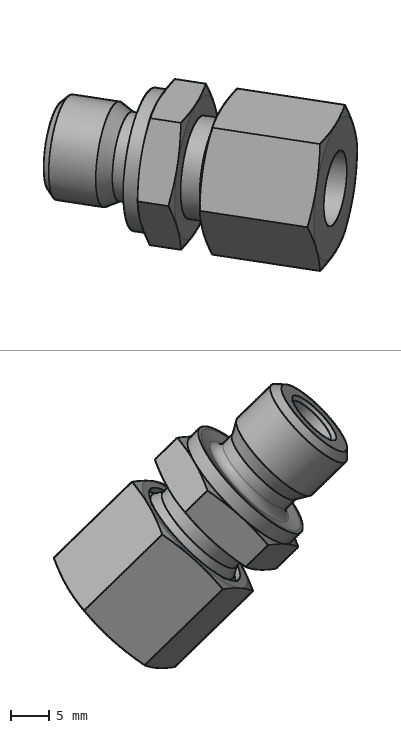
import cadquery as cq
import math


across_flats = 19.0
flat_radius = across_flats / 2
corner_radius = across_flats / math.sqrt(3)
hex_chamfer_angle = 15.0
overall_length = 38.0

flange_start = 11.97
flange_thickness = 2.0
body_hex_start = flange_start + flange_thickness
body_hex_width = 5.0
body_hex_end = body_hex_start + body_hex_width
runout_start = 21.6
body_end = 30.4

port_thread_radius = 7.0
port_chamfer = 1.03
neck_radius = 5.93
neck_taper_start = 7.45
neck_start = 9.4
neck_end = 11.05
bore_radius = 3.5
bore_chamfer = 0.5

seal_rim_radius = 9.0
seal_fillet_radius = 1.2
seal_root_radius = neck_radius + seal_fillet_radius
seal_root = neck_end + seal_fillet_radius

shank_radius = 6.85
nut_thread_radius = 8.25
runout_radius = 7.6
runout_angle = 30.0
runout_end = runout_start + (runout_radius - shank_radius) / math.tan(math.radians(runout_angle))
shoulder_angle = 53.0
shoulder_end = runout_end + (nut_thread_radius - runout_radius) / math.tan(math.radians(shoulder_angle))

nut_start = 22.5
tube_radius = 5.0


def cylinder(start, end, radius):
    """Cylinder on the X axis between two X positions."""
    return cq.Workplane("YZ", origin=(start, 0, 0)).circle(radius).extrude(end - start)


def chamfered_hexagon(start, end):
    """Hexagonal prism along X, flats up and down, corners turned off by a cone at both ends."""
    prism = cq.Workplane("YZ", origin=(start, 0, 0)).polygon(6, 2 * corner_radius).extrude(end - start)
    chamfer = (corner_radius - flat_radius) * math.tan(math.radians(hex_chamfer_angle))
    turned_blank = (
        cq.Workplane("XY")
        .moveTo(start, 0)
        .lineTo(start, flat_radius)
        .lineTo(start + chamfer, corner_radius)
        .lineTo(end - chamfer, corner_radius)
        .lineTo(end, flat_radius)
        .lineTo(end, 0)
        .close()
        .revolve(360, (0, 0, 0), (1, 0, 0))
    )
    return prism.intersect(turned_blank)


def make_body():
    turned = (
        cq.Workplane("XY")
        .moveTo(0, 0)
        .lineTo(0, port_thread_radius - port_chamfer)
        .lineTo(port_chamfer, port_thread_radius)
        .lineTo(neck_taper_start, port_thread_radius)
        .lineTo(neck_start, neck_radius)
        .lineTo(neck_end, neck_radius)
        .radiusArc((seal_root, seal_root_radius), -seal_fillet_radius)
        .lineTo(flange_start, seal_rim_radius)
        .lineTo(flange_start, flat_radius)
        .lineTo(body_hex_start, flat_radius)
        .lineTo(body_hex_start, shank_radius)
        .lineTo(runout_start, shank_radius)
        .lineTo(runout_end, runout_radius)
        .lineTo(shoulder_end, nut_thread_radius)
        .lineTo(body_end, nut_thread_radius)
        .lineTo(body_end, 0)
        .close()
        .revolve(360, (0, 0, 0), (1, 0, 0))
    )
    solid = turned.union(chamfered_hexagon(body_hex_start, body_hex_end))

    solid = solid.cut(cylinder(0, body_end, bore_radius))
    return solid.faces("<X").edges("%CIRCLE").edges(cq.selectors.RadiusNthSelector(0)).chamfer(bore_chamfer)


def make_nut():
    blank = chamfered_hexagon(nut_start, overall_length)
    chamber = cylinder(nut_start, body_end, nut_thread_radius)
    tube_hole = cylinder(body_end, overall_length, tube_radius)
    return blank.cut(chamber).cut(tube_hole)


body = make_body()
nut = make_nut()

result = cq.Compound.makeCompound([body.val(), nut.val()])